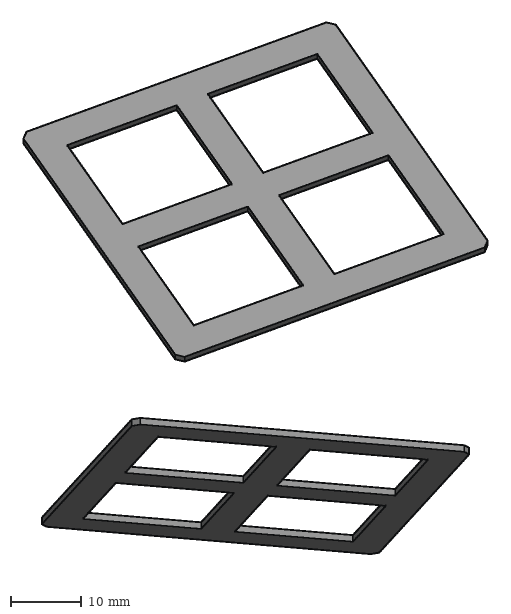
import cadquery as cq

side = 50.0
thickness = 1.0
corner_chamfer = 1.0

windows_per_side = 2
bar_width = 5.0
window_size = (side - (windows_per_side + 1) * bar_width) / windows_per_side
window_pitch = window_size + bar_width


def chamfered_plate():
    plate = cq.Workplane("XY").rect(side, side).extrude(thickness)
    return plate.edges("|Z").chamfer(corner_chamfer)


def window_cutters():
    return (
        cq.Workplane("XY")
        .rarray(window_pitch, window_pitch, windows_per_side, windows_per_side)
        .rect(window_size, window_size)
        .extrude(thickness)
    )


result = chamfered_plate().cut(window_cutters())